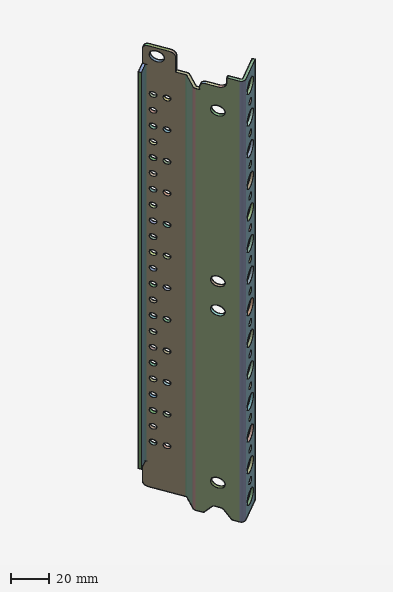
import cadquery as cq
import math

length = 348.5
width = 59.0
depth = 17.0

sheet = 1.7
inner_radius = 0.87
outer_radius = inner_radius + sheet
raised_back = 9.0
step_height = raised_back - sheet
step_angle = 48
step_end = 31.0
lip_edge = 1.0
lip_bottom = 20.0
lip_top = 333.5

corner_radius = 3.5
shelf_radius = 5.0
tab_right = 18.5
step_notch_right = 34.0
step_notch_floor = lip_top
shelf_height = 339.5
shelf_right = 49.0

window_count = 14
window_top = 336.0
window_bottom = 11.0
pitch = (window_top - window_bottom) / (window_count - 1)
window_diameter = 9.8
flange_hole_y = 9.5
pin_diameter = 4.2
pin_columns = (6.0, 13.5)
pin_double_rows = 12
mount_diameter = 8.0
mount_x = 44.3
mount_heights = (26.5, 162.7, 185.8, 320.5)
tab_hole_x = 8.0
tab_hole_z = 342.0
tab_hole_diameter = 8.5

notch_mouth = 15.7
notch_roof = 5.2
notch_height = 7.3
notch_radius = 2.0


def rounded_outline(plane, corners):
    """Closed outline through (u, v, radius) corners; radius 0 keeps a corner sharp."""
    path = cq.Workplane(plane)
    for i, (u, v, radius) in enumerate(corners):
        corner = cq.Vector(u, v)
        to_last = (cq.Vector(*corners[i - 1][:2]) - corner).normalized()
        to_next = (cq.Vector(*corners[(i + 1) % len(corners)][:2]) - corner).normalized()
        half_angle = to_last.getAngle(to_next) / 2
        setback = radius / math.tan(half_angle)
        arc_start = corner + to_last * setback
        extend = path.moveTo if i == 0 else path.lineTo
        path = extend(arc_start.x, arc_start.y)
        if radius > 0:
            bisector = (to_last + to_next).normalized()
            middle = corner + bisector * (radius / math.sin(half_angle) - radius)
            arc_end = corner + to_next * setback
            path = path.threePointArc((middle.x, middle.y), (arc_end.x, arc_end.y))
    return path.close()


def folded_sheet(left_edge):
    """Sheet of full length whose cross-section starts with the given left-hand corners."""
    step_start = step_end - step_height / math.tan(math.radians(step_angle))
    back_shift = sheet * math.tan(math.radians(step_angle / 2))
    section = left_edge + [
        (step_start, step_height, inner_radius),
        (step_end, 0, outer_radius),
        (width, 0, outer_radius),
        (width, depth, 0),
        (width - sheet, depth, 0),
        (width - sheet, sheet, inner_radius),
        (step_end + back_shift, sheet, inner_radius),
        (step_start + back_shift, raised_back, outer_radius),
    ]
    return rounded_outline("XY", section).extrude(length)


def rail_body():
    """Flat-edged sheet at both ends, with the left lip folded forward between them."""
    flat_edge = [(0, raised_back, 0), (0, step_height, 0)]
    lip = [
        (0, raised_back, outer_radius),
        (0, lip_edge, 0),
        (sheet, lip_edge, 0),
        (sheet, step_height, inner_radius),
    ]
    lip_zone = (
        cq.Workplane("XY", origin=(0, 0, lip_bottom))
        .rect(4 * width, 4 * depth)
        .extrude(lip_top - lip_bottom)
    )
    ends = folded_sheet(flat_edge).cut(lip_zone)
    middle = folded_sheet(lip).intersect(lip_zone)
    return ends.union(middle)


def panel_blank():
    """Front outline of the rail, with the stepped top edge and the bottom notch."""
    corners = [
        (0, 0, corner_radius),
        (mount_x - notch_mouth / 2, 0, 0),
        (mount_x - notch_roof / 2, notch_height, notch_radius),
        (mount_x + notch_roof / 2, notch_height, notch_radius),
        (mount_x + notch_mouth / 2, 0, 0),
        (width, 0, 0),
        (width, length, 0),
        (shelf_right, length, 0),
        (shelf_right, shelf_height, shelf_radius),
        (step_notch_right, shelf_height, corner_radius),
        (step_notch_right, step_notch_floor, 0),
        (tab_right, step_notch_floor, 0),
        (tab_right, length, corner_radius),
        (0, length, corner_radius),
    ]
    return rounded_outline("XZ", corners).extrude(2 * depth, both=True)


def panel_holes(centers, diameter):
    """Drills through the panels, along Y, at the given (x, z) centers."""
    return cq.Workplane("XZ").pushPoints(centers).circle(diameter / 2).extrude(2 * depth, both=True)


def flange_holes(heights, diameter):
    """Drills through the right flange, along X, at the given heights."""
    centers = [(flange_hole_y, z) for z in heights]
    return (
        cq.Workplane("YZ", origin=(width - 2 * sheet, 0, 0))
        .pushPoints(centers)
        .circle(diameter / 2)
        .extrude(3 * sheet)
    )


double_heights = [window_top - (i + 1) * pitch for i in range(pin_double_rows)]
single_heights = [z - pitch / 2 for z in double_heights[:-1]]
pin_centers = [(x, z) for x in pin_columns for z in double_heights]
pin_centers += [(pin_columns[0], z) for z in single_heights]

window_heights = [window_top - i * pitch for i in range(window_count)]
between_heights = [z - pitch / 2 for z in window_heights[:-1]]

result = (
    rail_body()
    .intersect(panel_blank())
    .cut(panel_holes(pin_centers, pin_diameter))
    .cut(panel_holes([(mount_x, z) for z in mount_heights], mount_diameter))
    .cut(panel_holes([(tab_hole_x, tab_hole_z)], tab_hole_diameter))
    .cut(flange_holes(window_heights, window_diameter))
    .cut(flange_holes(between_heights, pin_diameter))
)